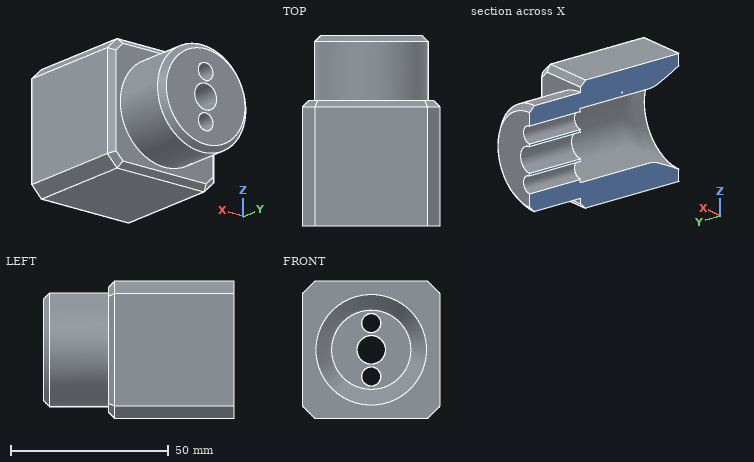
import cadquery as cq
import math

BODY_WIDTH = 43.8
BODY_LENGTH = 40.0
CORNER_CHAMFER = 4.0
SHOULDER_CHAMFER = 2.0

BOSS_DIAMETER = 36.3
TOTAL_LENGTH = 60.7
BOSS_CHAMFER = 2.0

MOUTH_DIAMETER = 35.2
BORE_DIAMETER = 25.2
BORE_DEPTH = BODY_LENGTH
CONE_HALF_ANGLE = math.radians(26.5)
BLEND_RADIUS = 10.5

CENTER_HOLE_DIAMETER = 9.0
SIDE_HOLE_DIAMETER = 6.0
SIDE_HOLE_OFFSET = 8.5


def rod(diameter, length):
    """Cylinder on the Y axis, running from Y = 0 to Y = length."""
    return cq.Workplane("XZ").circle(diameter / 2).extrude(-length)


def make_body():
    body = cq.Workplane("XZ").rect(BODY_WIDTH, BODY_WIDTH).extrude(-BODY_LENGTH)
    body = body.edges("|Y").chamfer(CORNER_CHAMFER)
    return body.faces(">Y").chamfer(SHOULDER_CHAMFER)


def make_boss():
    return rod(BOSS_DIAMETER, TOTAL_LENGTH).faces(">Y").chamfer(BOSS_CHAMFER)


def make_socket():
    """Solid of revolution that fills the socket."""
    mouth_radius = MOUTH_DIAMETER / 2
    bore_radius = BORE_DIAMETER / 2

    def blend_point(angle, start_depth):
        """Point on the blend arc, turned by angle away from the bore wall."""
        radius = bore_radius + BLEND_RADIUS * (1 - math.cos(angle))
        return radius, start_depth - BLEND_RADIUS * math.sin(angle)

    cone_end_radius = blend_point(CONE_HALF_ANGLE, 0)[0]
    cone_depth = (mouth_radius - cone_end_radius) / math.tan(CONE_HALF_ANGLE)
    bore_start = cone_depth + BLEND_RADIUS * math.sin(CONE_HALF_ANGLE)

    profile = (
        cq.Workplane("XY")
        .moveTo(0, 0)
        .lineTo(mouth_radius, 0)
        .lineTo(cone_end_radius, cone_depth)
        .threePointArc(blend_point(CONE_HALF_ANGLE / 2, bore_start), (bore_radius, bore_start))
        .lineTo(bore_radius, BORE_DEPTH)
        .lineTo(0, BORE_DEPTH)
        .close()
    )
    return profile.revolve(360, (0, 0, 0), (0, 1, 0))


def make_floor_holes():
    holes = rod(CENTER_HOLE_DIAMETER, TOTAL_LENGTH)
    for side in (-1, 1):
        side_hole = rod(SIDE_HOLE_DIAMETER, TOTAL_LENGTH)
        holes = holes.add(side_hole.translate((0, 0, side * SIDE_HOLE_OFFSET)))
    return holes.combine()


result = make_body().union(make_boss()).cut(make_socket()).cut(make_floor_holes())